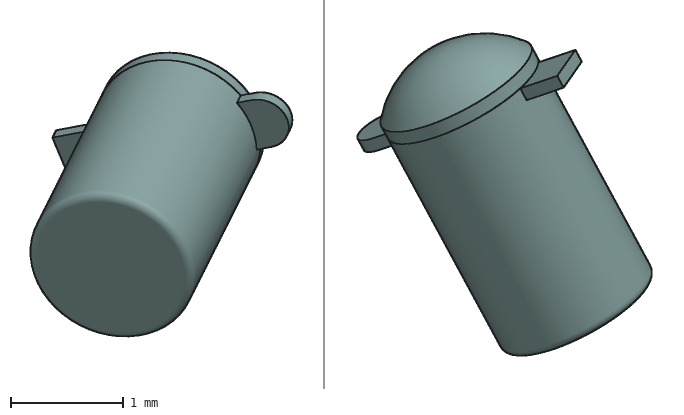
import cadquery as cq

total_length = 2.79
outer_radius = 0.7603
dome_height = 0.38
band_length = 0.128
rim_fillet = 0.075

tab_thickness = 0.125
tab_width = 0.502
tab_reach = 1.115
tab_angle = 21.3

can_length = total_length - dome_height - band_length
dome_base = can_length + band_length
tab_round_radius = tab_width / 2
round_center = tab_reach - tab_round_radius


def make_tab_strip():
    """Strip across the can, square at one end and round at the other, flush with the can's open end."""
    half_width = tab_width / 2
    strip = (
        cq.Workplane("XZ", origin=(0, can_length, 0))
        .moveTo(-tab_reach, -half_width)
        .lineTo(round_center, -half_width)
        .threePointArc((tab_reach, 0), (round_center, half_width))
        .lineTo(-tab_reach, half_width)
        .close()
        .extrude(tab_thickness)
    )
    return strip.rotate((0, 0, 0), (0, 1, 0), -tab_angle)


def make_can():
    """Solid cylinder with a rounded closed end and two tabs at its other end."""
    cylinder = (
        cq.Workplane("XZ")
        .circle(outer_radius)
        .extrude(-can_length)
        .faces("<Y")
        .edges()
        .fillet(rim_fillet)
    )
    return cylinder.union(make_tab_strip())


def make_lens():
    """Cylindrical band topped by a spherical cap, seated on the open end of the can."""
    sphere_radius = (outer_radius**2 + dome_height**2) / (2 * dome_height)
    sphere_center = total_length - sphere_radius
    middle_y = dome_base + dome_height / 2
    middle_x = (sphere_radius**2 - (middle_y - sphere_center) ** 2) ** 0.5
    return (
        cq.Workplane("XY")
        .moveTo(0, can_length)
        .lineTo(outer_radius, can_length)
        .lineTo(outer_radius, dome_base)
        .threePointArc((middle_x, middle_y), (0, total_length))
        .close()
        .revolve(360, (0, 0, 0), (0, 1, 0))
    )


can = make_can()
lens = make_lens()

result = cq.Compound.makeCompound([can.val(), lens.val()])